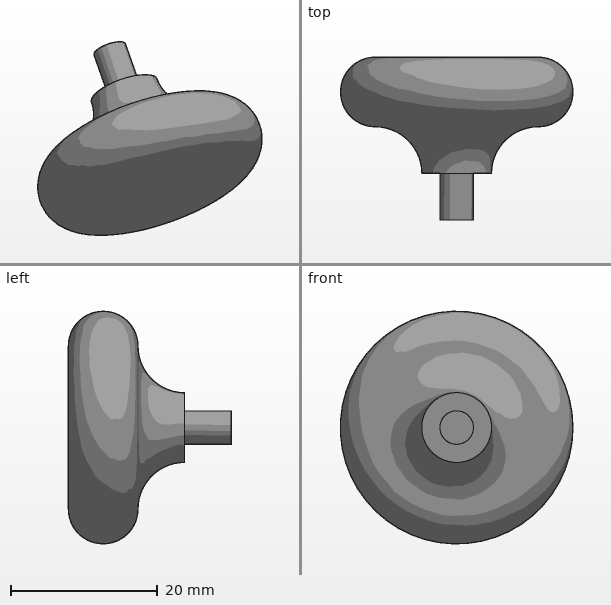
import cadquery as cq
import math

knob_radius = 15.88
rim_thickness = 9.52
neck_radius = 4.75
stem_radius = 2.3
stem_length = 6.35

rim_round = rim_thickness / 2
face_radius = knob_radius - rim_round
flare_radius = face_radius - neck_radius

rim_middle_y = -rim_round
rim_front_y = -rim_thickness
neck_end_y = rim_front_y - flare_radius
stem_end_y = neck_end_y - stem_length

flare_offset = flare_radius * math.sqrt(0.5)
flare_middle = (face_radius - flare_offset, neck_end_y + flare_offset)

profile = (
    cq.Workplane("XY")
    .lineTo(face_radius, 0)
    .threePointArc((knob_radius, rim_middle_y), (face_radius, rim_front_y))
    .threePointArc(flare_middle, (neck_radius, neck_end_y))
    .lineTo(stem_radius, neck_end_y)
    .lineTo(stem_radius, stem_end_y)
    .lineTo(0, stem_end_y)
    .close()
)

result = profile.revolve(360, (0, 0, 0), (0, 1, 0))